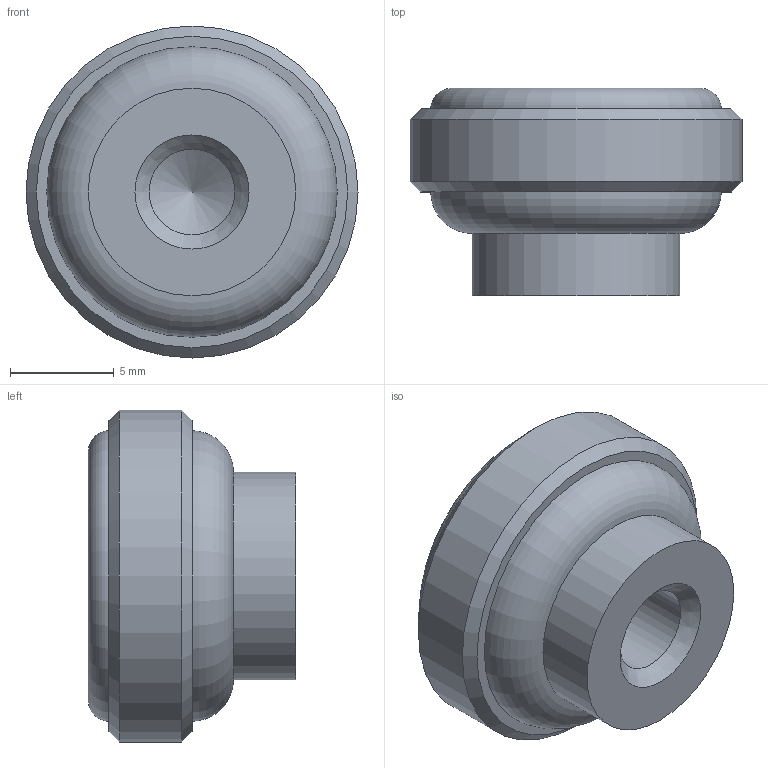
import cadquery as cq
import math

body_radius = 7.0
shoulder_radius = 2.0
stem_radius = body_radius - shoulder_radius
stem_length = 3.0
rim_radius = 8.0
rim_width = 4.0
rim_chamfer = 0.5
cap_height = 1.0

hole_radius = 2.067
countersink_radius = 2.75
countersink_depth = countersink_radius - hole_radius
hole_depth = 7.0
drill_point_angle = 118.0
drill_point_depth = hole_radius / math.tan(math.radians(drill_point_angle / 2))

rim_front = stem_length + shoulder_radius
rim_back = rim_front + rim_width
total_length = rim_back + cap_height

AXIS_START = (0, 0, 0)
AXIS_END = (0, 1, 0)


def revolve_about_y(profile):
    """Close a half section drawn from the origin and turn it a full circle."""
    return profile.close().revolve(360, AXIS_START, AXIS_END)


def mid_arc_inset(radius):
    """Inset of a quarter round's midpoint from either of its two tangent lines."""
    return radius * (1 - math.sqrt(0.5))


def make_knob():
    shoulder_inset = mid_arc_inset(shoulder_radius)
    cap_inset = mid_arc_inset(cap_height)
    profile = (
        cq.Workplane("XY")
        .lineTo(stem_radius, 0)
        .lineTo(stem_radius, stem_length)
        .threePointArc(
            (body_radius - shoulder_inset, stem_length + shoulder_inset),
            (body_radius, rim_front),
        )
        .lineTo(rim_radius - rim_chamfer, rim_front)
        .lineTo(rim_radius, rim_front + rim_chamfer)
        .lineTo(rim_radius, rim_back - rim_chamfer)
        .lineTo(rim_radius - rim_chamfer, rim_back)
        .lineTo(body_radius, rim_back)
        .threePointArc(
            (body_radius - cap_inset, total_length - cap_inset),
            (body_radius - cap_height, total_length),
        )
        .lineTo(0, total_length)
    )
    return revolve_about_y(profile)


def make_hole():
    profile = (
        cq.Workplane("XY")
        .lineTo(countersink_radius, 0)
        .lineTo(hole_radius, countersink_depth)
        .lineTo(hole_radius, hole_depth)
        .lineTo(0, hole_depth + drill_point_depth)
    )
    return revolve_about_y(profile)


result = make_knob().cut(make_hole())